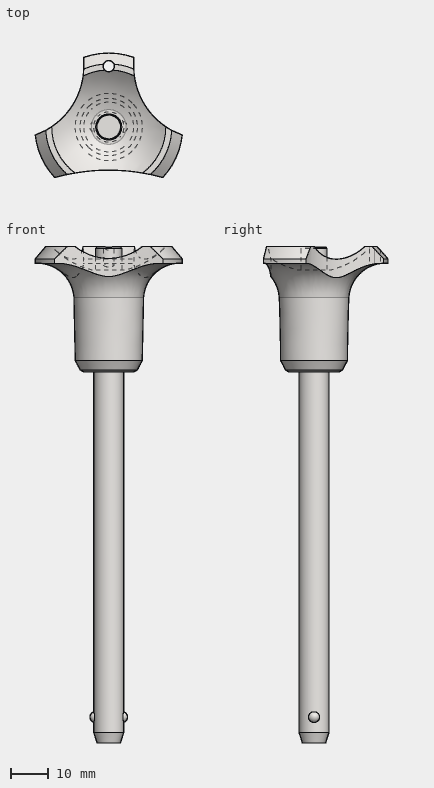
import cadquery as cq
import math


rim_radius = 19.6
rim_flat_outer = 16.7
rim_flat_inner = 15.1
rim_bevel_depth = 3.3
rim_edge_depth = 4.5
flare_mid_radius = 11.6
flare_mid_depth = 7.8
collar_radius = 9.25
collar_depth = 13.5
grip_end_radius = 8.9
grip_end_depth = 30.2
nose_radius = 7.6
nose_depth = 32.7
handle_foot_radius = 6.6
handle_length = 33.3
dish_radius = 20.3
dish_floor_radius = 4.6

back_wing_half_width = 6.65
back_wing_side_end_y = 16.0
handle_width = 38.97
side_wing_tip_x = handle_width / 2
side_wing_front_y = -13.4
front_waist_y = -11.45

lanyard_hole_radius = 1.45
lanyard_hole_y = 16.1

button_radius = 3.45
button_top_depth = 0.2
button_chamfer = 0.3

pin_radius = 4.0
pin_length = 131.5
tip_radius = 3.1
tip_length = 2.8

ball_radius = 1.5
ball_reach = 5.0
ball_depth = 124.6

dish_center_z = math.sqrt(dish_radius**2 - rim_flat_inner**2)
dish_floor_z = dish_center_z - math.sqrt(dish_radius**2 - dish_floor_radius**2)


def on_rim(distance):
    """Remaining coordinate of a rim point that has the given X or Y distance from the axis."""
    return math.sqrt(rim_radius**2 - distance**2)


def dish_midpoint(start_radius, end_radius):
    """Point of the dish section midway between two radii."""
    radius = (start_radius + end_radius) / 2
    return radius, dish_center_z - math.sqrt(dish_radius**2 - radius**2)


def make_handle_revolve():
    return (
        cq.Workplane("XZ")
        .moveTo(0, dish_floor_z)
        .lineTo(dish_floor_radius, dish_floor_z)
        .threePointArc(dish_midpoint(dish_floor_radius, rim_flat_inner), (rim_flat_inner, 0))
        .lineTo(rim_flat_outer, 0)
        .lineTo(rim_radius, -rim_bevel_depth)
        .lineTo(rim_radius, -rim_edge_depth)
        .threePointArc((flare_mid_radius, -flare_mid_depth), (collar_radius, -collar_depth))
        .lineTo(grip_end_radius, -grip_end_depth)
        .lineTo(nose_radius, -nose_depth)
        .lineTo(handle_foot_radius, -handle_length)
        .lineTo(0, -handle_length)
        .close()
        .revolve(360, (0, 0, 0), (0, 1, 0))
    )


def side_scallop_middle(tip_y):
    """Middle of the arc that leaves the back wing's side tangentially and ends at the side wing's tip."""
    span_x = side_wing_tip_x - back_wing_half_width
    span_y = back_wing_side_end_y - tip_y
    radius = (span_x**2 + span_y**2) / (2 * span_x)
    half_sweep = math.atan2(span_y, radius - span_x) / 2
    middle_x = back_wing_half_width + radius * (1 - math.cos(half_sweep))
    middle_y = back_wing_side_end_y - radius * math.sin(half_sweep)
    return middle_x, middle_y


def make_wing_outline():
    """Prism with the three-winged outline, as tall as the handle."""
    back_corner_y = on_rim(back_wing_half_width)
    side_tip_y = -on_rim(side_wing_tip_x)
    front_corner_x = on_rim(side_wing_front_y)
    tip_angle = math.atan2(side_tip_y, side_wing_tip_x)
    front_angle = math.atan2(side_wing_front_y, front_corner_x)
    middle_angle = (tip_angle + front_angle) / 2
    rim_middle = (rim_radius * math.cos(middle_angle), rim_radius * math.sin(middle_angle))
    scallop_middle = side_scallop_middle(side_tip_y)
    left_scallop_middle = (-scallop_middle[0], scallop_middle[1])
    left_rim_middle = (-rim_middle[0], rim_middle[1])
    return (
        cq.Workplane("XY")
        .moveTo(-back_wing_half_width, back_corner_y)
        .threePointArc((0, rim_radius), (back_wing_half_width, back_corner_y))
        .lineTo(back_wing_half_width, back_wing_side_end_y)
        .threePointArc(scallop_middle, (side_wing_tip_x, side_tip_y))
        .threePointArc(rim_middle, (front_corner_x, side_wing_front_y))
        .threePointArc((0, front_waist_y), (-front_corner_x, side_wing_front_y))
        .threePointArc(left_rim_middle, (-side_wing_tip_x, side_tip_y))
        .threePointArc(left_scallop_middle, (-back_wing_half_width, back_wing_side_end_y))
        .close()
        .extrude(-handle_length)
    )


def make_lanyard_hole():
    return cq.Workplane("XY").center(0, lanyard_hole_y).circle(lanyard_hole_radius).extrude(-collar_depth)


def make_button():
    return (
        cq.Workplane("XY")
        .workplane(offset=-button_top_depth)
        .circle(button_radius)
        .extrude(-collar_depth)
        .faces(">Z")
        .chamfer(button_chamfer)
    )


def make_pin():
    return (
        cq.Workplane("XZ")
        .moveTo(0, -collar_depth)
        .lineTo(pin_radius, -collar_depth)
        .lineTo(pin_radius, tip_length - pin_length)
        .lineTo(tip_radius, -pin_length)
        .lineTo(0, -pin_length)
        .close()
        .revolve(360, (0, 0, 0), (0, 1, 0))
    )


def make_ball(side):
    ball_x = side * (ball_reach - ball_radius)
    return cq.Workplane("XY").sphere(ball_radius).translate((ball_x, 0, -ball_depth))


handle = make_handle_revolve().intersect(make_wing_outline()).cut(make_lanyard_hole())
result = handle.union(make_button()).union(make_pin())
for side in (-1, 1):
    result = result.union(make_ball(side))